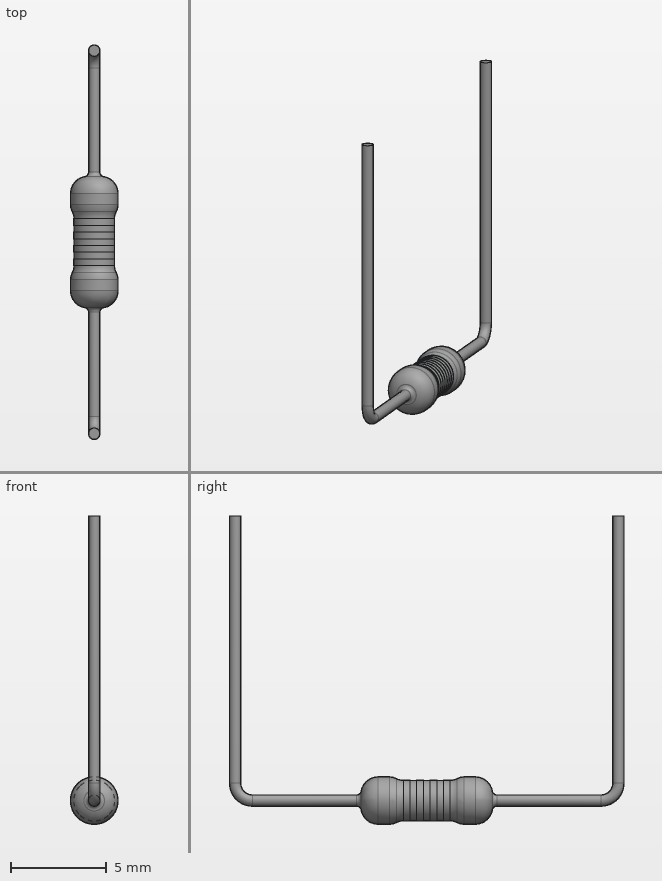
import cadquery as cq
import math

overall_length = 20.6
overall_height = 16.1

wire_dia = 0.6
bend_radius = 0.9

bulb_dia = 2.5
barrel_dia = 2.12
band_dia = 2.15
band_count = 4
band_width = 0.35
band_pitch = 2 * band_width
bulb_inner = 1.95
bulb_outer = 2.53
cap_end = 3.42
cap_end_radius = 0.54

wire_radius = wire_dia / 2
bulb_radius = bulb_dia / 2
barrel_radius = barrel_dia / 2
collar_radius = cap_end_radius - wire_radius
collar_end = cap_end + collar_radius
band_zone_half = (band_count - 0.5) * band_width
neck_middle = ((band_zone_half + bulb_inner) / 2, (barrel_radius + bulb_radius) / 2)


def make_body_end():
    """Revolve the +Y end of the body: S-shaped neck, bulb, domed cap and collar."""
    arc_offset = collar_radius * (1 - math.sqrt(0.5))
    collar_middle = (cap_end + arc_offset, wire_radius + arc_offset)
    arc_length = neck_middle[0] - band_zone_half
    arc_rise = neck_middle[1] - barrel_radius
    neck_arc_radius = (arc_length**2 + arc_rise**2) / (2 * arc_rise)
    half_angle = math.atan2(arc_rise, arc_length)
    neck_concave_point = (
        band_zone_half + neck_arc_radius * math.sin(half_angle),
        barrel_radius + neck_arc_radius * (1 - math.cos(half_angle)),
    )
    profile = (
        cq.Workplane("YX")
        .moveTo(band_zone_half, 0)
        .lineTo(band_zone_half, barrel_radius)
        .threePointArc(neck_concave_point, neck_middle)
        .tangentArcPoint((bulb_inner, bulb_radius), relative=False)
        .lineTo(bulb_outer, bulb_radius)
        .tangentArcPoint((cap_end, cap_end_radius), relative=False)
        .threePointArc(collar_middle, (collar_end, wire_radius))
        .lineTo(collar_end, 0)
        .close()
    )
    return profile.revolve(360, (0, 0), (1, 0))


def make_cylinder(diameter, length, center_y):
    """Cylinder along Y, centred at the given place on the body axis."""
    return (
        cq.Workplane("XZ", origin=(0, center_y + length / 2, 0))
        .circle(diameter / 2)
        .extrude(length)
    )


def make_wire():
    """Sweep the round wire through the body and up both leads."""
    lead_y = overall_length / 2 - wire_radius
    lead_top = overall_height - bulb_radius
    straight_half = lead_y - bend_radius
    path = (
        cq.Workplane("YZ")
        .moveTo(-lead_y, lead_top)
        .lineTo(-lead_y, bend_radius)
        .tangentArcPoint((-straight_half, 0), relative=False)
        .lineTo(straight_half, 0)
        .tangentArcPoint((lead_y, bend_radius), relative=False)
        .lineTo(lead_y, lead_top)
    )
    return cq.Workplane("XY", origin=(0, -lead_y, lead_top)).circle(wire_radius).sweep(path)


body_end = make_body_end()
barrel = make_cylinder(barrel_dia, 2 * band_zone_half, 0)
result = barrel.union(body_end).union(body_end.mirror("XZ"))
for index in range(band_count):
    band_y = (index - (band_count - 1) / 2) * band_pitch
    result = result.union(make_cylinder(band_dia, band_width, band_y))
result = result.union(make_wire())